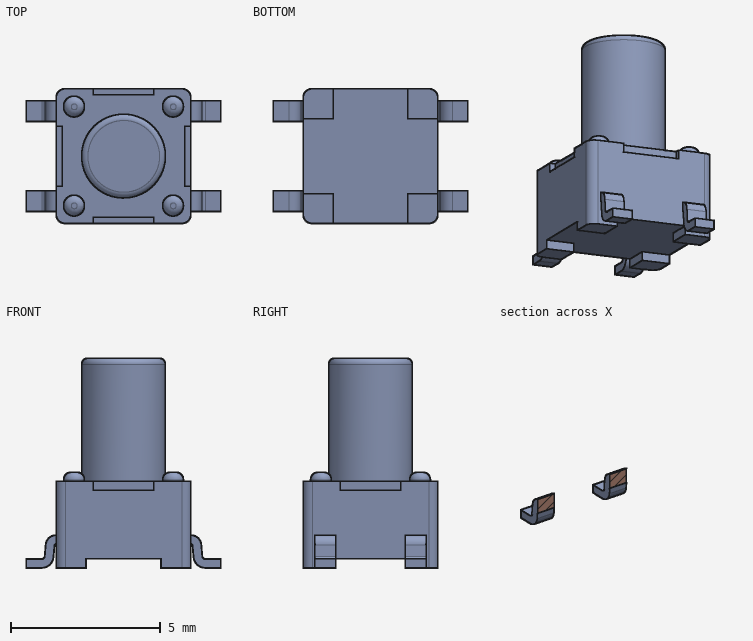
import cadquery as cq
import math

total_height = 7.0
lead_span = 6.5

body_side = 4.5
corner_radius = 0.3
body_height = 2.6
cover_thickness = 0.3
cover_top = body_height + cover_thickness
cover_notch_length = 2.0
cover_notch_depth = 0.2

channel_width = 2.5
channel_height = 0.3

button_diameter = 2.8
button_edge_radius = 0.2

rivet_diameter = 0.7
rivet_height = 0.3
rivet_edge_radius = 0.25
rivet_offset = 1.65

lead_thickness = 0.3
lead_width = 0.7
lead_pitch = 3.0
foot_inner_radius = 0.1
foot_bend_x = 2.73
shoulder_inner_radius = 0.05
shoulder_bottom = 0.8
lead_lean = math.radians(5)
lead_embed = 0.14


def rounded_plate(height, bottom):
    """Square block with rounded vertical corners."""
    block = cq.Workplane("XY").workplane(offset=bottom).rect(body_side, body_side).extrude(height)
    return block.edges("|Z").fillet(corner_radius)


def make_housing():
    housing = rounded_plate(body_height, 0)
    channel = cq.Workplane("XY").rect(body_side, channel_width).extrude(channel_height)
    return housing.cut(channel).cut(channel.rotate((0, 0, 0), (0, 0, 1), 90))


def make_cover():
    cover = rounded_plate(cover_thickness, body_height)
    notch = (
        cq.Workplane("XY")
        .workplane(offset=body_height)
        .center(body_side / 2 - cover_notch_depth / 2, 0)
        .rect(cover_notch_depth, cover_notch_length)
        .extrude(cover_thickness)
    )
    for quarter_turn in range(4):
        cover = cover.cut(notch.rotate((0, 0, 0), (0, 0, 1), 90 * quarter_turn))
    return cover


def make_button():
    button = cq.Workplane("XY").workplane(offset=body_height).circle(button_diameter / 2)
    return button.extrude(total_height - body_height).faces(">Z").edges().fillet(button_edge_radius)


def make_rivets():
    return (
        cq.Workplane("XY")
        .workplane(offset=cover_top)
        .rect(2 * rivet_offset, 2 * rivet_offset, forConstruction=True)
        .vertices()
        .circle(rivet_diameter / 2)
        .extrude(rivet_height)
        .faces(">Z")
        .edges()
        .fillet(rivet_edge_radius)
    )


def make_lead():
    """One lead on the +X side, centred on Y = 0."""
    tip_x = lead_span / 2
    start_x = body_side / 2 - lead_embed
    shoulder_top = shoulder_bottom + lead_thickness
    foot_outer_radius = foot_inner_radius + lead_thickness
    shoulder_outer_radius = shoulder_inner_radius + lead_thickness

    foot_bend_z = foot_outer_radius
    shoulder_z = shoulder_bottom - shoulder_inner_radius
    rise = shoulder_z - foot_bend_z
    radius_sum = foot_inner_radius + shoulder_outer_radius
    shoulder_x = foot_bend_x - radius_sum / math.cos(lead_lean) - rise * math.tan(lead_lean)

    def on_shoulder(radius, angle):
        return shoulder_x + radius * math.cos(angle), shoulder_z + radius * math.sin(angle)

    def on_foot_bend(radius, angle):
        return foot_bend_x + radius * math.cos(angle), foot_bend_z + radius * math.sin(angle)

    shoulder_end = lead_lean
    shoulder_middle = (math.pi / 2 + shoulder_end) / 2
    foot_end = math.pi + lead_lean
    foot_middle = (3 * math.pi / 2 + foot_end) / 2

    profile = (
        cq.Workplane("XZ")
        .moveTo(start_x, shoulder_bottom)
        .lineTo(start_x, shoulder_top)
        .lineTo(shoulder_x, shoulder_top)
        .threePointArc(
            on_shoulder(shoulder_outer_radius, shoulder_middle),
            on_shoulder(shoulder_outer_radius, shoulder_end),
        )
        .lineTo(*on_foot_bend(foot_inner_radius, foot_end))
        .threePointArc(
            on_foot_bend(foot_inner_radius, foot_middle),
            (foot_bend_x, lead_thickness),
        )
        .lineTo(tip_x, lead_thickness)
        .lineTo(tip_x, 0)
        .lineTo(foot_bend_x, 0)
        .threePointArc(
            on_foot_bend(foot_outer_radius, foot_middle),
            on_foot_bend(foot_outer_radius, foot_end),
        )
        .lineTo(*on_shoulder(shoulder_inner_radius, shoulder_end))
        .threePointArc(
            on_shoulder(shoulder_inner_radius, shoulder_middle),
            (shoulder_x, shoulder_bottom),
        )
        .close()
    )
    return profile.extrude(lead_width / 2, both=True)


result = make_housing().union(make_cover()).union(make_button()).union(make_rivets())

right_lead = make_lead()
for lead in (right_lead, right_lead.mirror("YZ")):
    for side in (-1, 1):
        result = result.union(lead.translate((0, side * lead_pitch / 2, 0)))